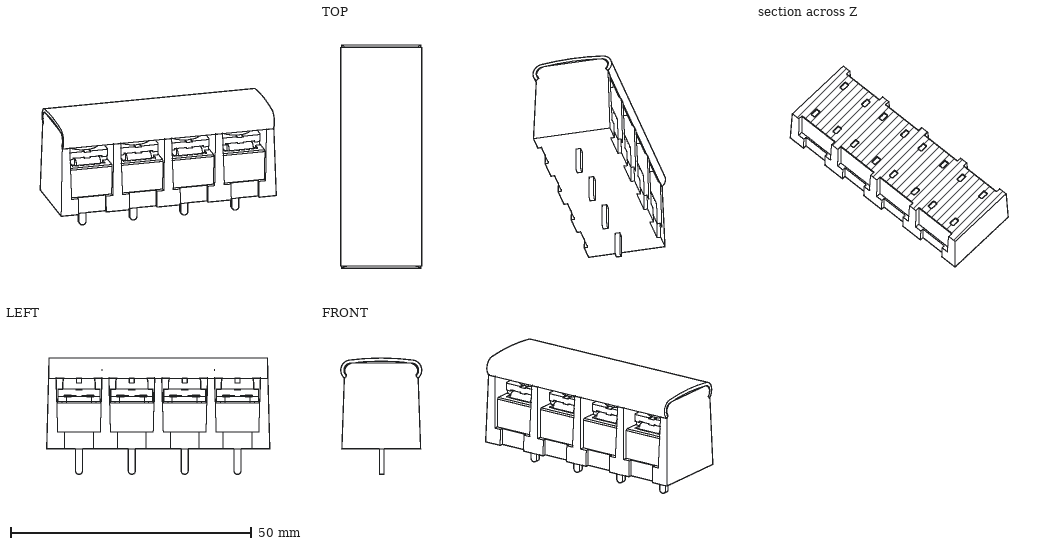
import cadquery as cq
import math

POLES = 4
PITCH = 11.0

BASE_WIDTH = 16.45
LENGTH = 46.5
SIDE_DRAFT = math.tan(math.radians(2.0))
END_DRAFT = math.tan(math.radians(1.5))
HOUSING_TOP = 17.9
BEAD_HALF_WIDTH = 7.65
BEAD_RADIUS = 1.85
BEAD_MID_ANGLE = math.radians(45.0)

COVER_WIDTH = 16.9
COVER_LENGTH = 45.55
COVER_TOP = 18.95
COVER_THICKNESS = 0.7
HOOK_RADIUS = 2.15
HOOK_Z = 16.4
HOOK_END_ANGLE = math.radians(-52.0)

POCKET_FLOOR = 3.5
POCKET_FLOOR_WIDTH = 8.9
NOTCH_WIDTH = 6.0
NOTCH_FACE_X = 7.45

BLOCK_TOP = 9.85
BLOCK_INSET = 0.95
BLOCK_CHAMFER = 0.3

PLATE_WIDTH = 8.8
PLATE_HALF_DEPTH = 3.6
PLATE_THICKNESS = 1.05
TAB_WIDTH = 5.2
TAB_REACH = 5.25
TAB_BEND_RADIUS = 1.2
RECESS_WIDTH = 7.0
RECESS_DEPTH = 0.5
WASHER_WIDTH = 8.8
WASHER_DEPTH = 8.8
WASHER_CORNER = 0.55
WASHER_BOTTOM = 11.15
WASHER_TOP = 12.45
WASHER_FOOT_WIDTH = 1.3
WASHER_RIB_WIDTH = 1.3
WASHER_RIB_HEIGHT = 0.2

SHANK_DIAMETER = 3.2
HEAD_DIAMETER = 6.8
HEAD_SHOULDER_Z = 13.75
HEAD_ROUND = 2.2
DRIVE_WIDTH = 1.0

PIN_LENGTH = 5.3
PIN_WIDTH = 1.5
PIN_THICKNESS = 1.0
PIN_X = 0.1

PLATE_TOP = BLOCK_TOP + PLATE_THICKNESS
BEAD_WIDEST_Z = HOUSING_TOP - BEAD_RADIUS
HOOK_X = COVER_WIDTH / 2 - HOOK_RADIUS


def centred_box(depth, width, z0, z1):
    """Box centred on the Z axis between two heights."""
    return cq.Workplane("XY").workplane(offset=z0).rect(depth, width).extrude(z1 - z0)


def extrude_along_y(profile, length):
    """Extrude an XZ profile by the given length, centred on Y = 0."""
    return profile.close().extrude(length / 2, both=True)


def side_x(z):
    """Half width of the drafted housing at height z."""
    return BASE_WIDTH / 2 - z * SIDE_DRAFT


def polar(cx, cz, radius, angle):
    """Point on a circle in the XZ plane."""
    return (cx + radius * math.cos(angle), cz + radius * math.sin(angle))


def mirrored(point):
    """Point reflected across X = 0."""
    return (-point[0], point[1])


def hook_point(radius, angle):
    """Point on a circle around the centre of the cover's +X hook."""
    return polar(HOOK_X, HOOK_Z, radius, angle)


def make_housing():
    """Housing with drafted sides and ends and a bead along each top edge that the cover grips."""
    inner_tip = hook_point(HOOK_RADIUS - COVER_THICKNESS, HOOK_END_ANGLE)
    outer_tip = hook_point(HOOK_RADIUS, HOOK_END_ANGLE)
    bead_x = BEAD_HALF_WIDTH - BEAD_RADIUS
    seat = (side_x(outer_tip[1]), outer_tip[1])
    widest = (BEAD_HALF_WIDTH, BEAD_WIDEST_Z)
    shoulder = polar(bead_x, BEAD_WIDEST_Z, BEAD_RADIUS, BEAD_MID_ANGLE)
    crown = (bead_x, HOUSING_TOP)
    base = (side_x(0), 0)
    cross_section = (
        cq.Workplane("XZ")
        .moveTo(*mirrored(base))
        .lineTo(*base)
        .lineTo(*seat)
        .lineTo(*outer_tip)
        .lineTo(*inner_tip)
        .lineTo(*widest)
        .threePointArc(shoulder, crown)
        .lineTo(*mirrored(crown))
        .threePointArc(mirrored(shoulder), mirrored(widest))
        .lineTo(*mirrored(inner_tip))
        .lineTo(*mirrored(outer_tip))
        .lineTo(*mirrored(seat))
    )
    housing = extrude_along_y(cross_section, LENGTH)
    top_half_length = LENGTH / 2 - HOUSING_TOP * END_DRAFT
    drafted_ends = (
        cq.Workplane("YZ")
        .polyline([
            (-LENGTH / 2, 0),
            (LENGTH / 2, 0),
            (top_half_length, HOUSING_TOP),
            (-top_half_length, HOUSING_TOP),
        ])
        .close()
        .extrude(BASE_WIDTH, both=True)
    )
    return housing.intersect(drafted_ends)


def make_cover():
    """Arched cover strip with an arc hook along each long edge, tangent to the arch."""
    rise = COVER_TOP - HOOK_Z
    arch_radius = (HOOK_X**2 + rise**2 - HOOK_RADIUS**2) / (2 * (rise - HOOK_RADIUS))
    arch_z = COVER_TOP - arch_radius
    tangent_angle = math.atan2(HOOK_Z - arch_z, HOOK_X)
    inner_radius = HOOK_RADIUS - COVER_THICKNESS
    outer_tip = hook_point(HOOK_RADIUS, HOOK_END_ANGLE)
    outer_side = hook_point(HOOK_RADIUS, 0)
    outer_tangent = hook_point(HOOK_RADIUS, tangent_angle)
    inner_tip = hook_point(inner_radius, HOOK_END_ANGLE)
    inner_side = hook_point(inner_radius, 0)
    inner_tangent = hook_point(inner_radius, tangent_angle)
    cross_section = (
        cq.Workplane("XZ")
        .moveTo(*outer_tip)
        .threePointArc(outer_side, outer_tangent)
        .threePointArc((0, COVER_TOP), mirrored(outer_tangent))
        .threePointArc(mirrored(outer_side), mirrored(outer_tip))
        .lineTo(*mirrored(inner_tip))
        .threePointArc(mirrored(inner_side), mirrored(inner_tangent))
        .threePointArc((0, COVER_TOP - COVER_THICKNESS), inner_tangent)
        .threePointArc(inner_side, inner_tip)
    )
    return extrude_along_y(cross_section, COVER_LENGTH)


def make_pocket():
    """Drafted gap between two walls, open to both sides and the top, around its support block."""
    floor_half = POCKET_FLOOR_WIDTH / 2
    top_half = floor_half + (HOUSING_TOP - POCKET_FLOOR) * END_DRAFT
    pocket = (
        cq.Workplane("YZ")
        .polyline([
            (-floor_half, POCKET_FLOOR),
            (floor_half, POCKET_FLOOR),
            (top_half, HOUSING_TOP),
            (-top_half, HOUSING_TOP),
        ])
        .close()
        .extrude(BASE_WIDTH, both=True)
    )
    return pocket.cut(make_block())


def make_notches():
    """Shallow notches in both long sides below a pocket."""
    notches = centred_box(BASE_WIDTH, NOTCH_WIDTH, 0, POCKET_FLOOR)
    return notches.cut(centred_box(2 * NOTCH_FACE_X, NOTCH_WIDTH, 0, POCKET_FLOOR))


def make_block():
    """Support block left standing in a pocket, with chamfered top edges and two tab recesses."""
    chamfer_z = BLOCK_TOP - BLOCK_CHAMFER
    floor_x = side_x(POCKET_FLOOR) - BLOCK_INSET
    face_x = side_x(chamfer_z) - BLOCK_INSET
    top_x = face_x - BLOCK_CHAMFER
    cross_section = cq.Workplane("XZ").polyline([
        (-floor_x, POCKET_FLOOR),
        (floor_x, POCKET_FLOOR),
        (face_x, chamfer_z),
        (top_x, BLOCK_TOP),
        (-top_x, BLOCK_TOP),
        (-face_x, chamfer_z),
    ])
    block = extrude_along_y(cross_section, PITCH)
    recesses = centred_box(2 * TAB_REACH, RECESS_WIDTH, BLOCK_TOP - RECESS_DEPTH, BLOCK_TOP)
    core = centred_box(2 * PLATE_HALF_DEPTH, RECESS_WIDTH, BLOCK_TOP - RECESS_DEPTH, BLOCK_TOP)
    return block.cut(recesses.cut(core))


def make_plate():
    """Terminal plate whose central tabs bend down into the block recesses."""
    plate = centred_box(2 * PLATE_HALF_DEPTH, PLATE_WIDTH, BLOCK_TOP, PLATE_TOP)
    tabs = (
        centred_box(2 * TAB_REACH, TAB_WIDTH, BLOCK_TOP - RECESS_DEPTH, PLATE_TOP)
        .edges("|Y and >Z")
        .fillet(TAB_BEND_RADIUS)
    )
    return plate.union(tabs)


def make_washer():
    """Square clamp washer with rounded corners, a foot along each side and a pressed centre rib."""
    washer = centred_box(WASHER_DEPTH, WASHER_WIDTH, PLATE_TOP, WASHER_TOP)
    washer = washer.edges("|Z").fillet(WASHER_CORNER)
    gap_width = WASHER_WIDTH - 2 * WASHER_FOOT_WIDTH
    gap = centred_box(WASHER_DEPTH, gap_width, PLATE_TOP, WASHER_BOTTOM)
    rib_bottom = WASHER_BOTTOM - WASHER_RIB_HEIGHT
    rib = centred_box(WASHER_DEPTH, WASHER_RIB_WIDTH, rib_bottom, WASHER_BOTTOM)
    groove_floor = WASHER_TOP - WASHER_RIB_HEIGHT
    groove = centred_box(WASHER_DEPTH, WASHER_RIB_WIDTH, groove_floor, WASHER_TOP)
    return washer.cut(gap).union(rib).cut(groove)


def make_screw():
    """Slotted screw with a rounded head; the shank joins plate, washer and head."""
    head_top = HEAD_SHOULDER_Z + HEAD_ROUND
    shank = cq.Workplane("XY").workplane(offset=BLOCK_TOP)
    shank = shank.circle(SHANK_DIAMETER / 2).extrude(WASHER_TOP - BLOCK_TOP)
    head = cq.Workplane("XY").workplane(offset=WASHER_TOP)
    head = head.circle(HEAD_DIAMETER / 2).extrude(head_top - WASHER_TOP)
    head = head.edges(">Z").fillet(HEAD_ROUND)
    drive_slot = centred_box(HEAD_DIAMETER, DRIVE_WIDTH, HEAD_SHOULDER_Z, head_top)
    return shank.union(head.cut(drive_slot))


def make_pin():
    """Flat solder pin with a fully rounded tip."""
    radius = PIN_WIDTH / 2
    tip_z = -PIN_LENGTH
    return (
        cq.Workplane("YZ")
        .moveTo(-radius, 0)
        .lineTo(-radius, tip_z + radius)
        .threePointArc((0, tip_z), (radius, tip_z + radius))
        .lineTo(radius, 0)
        .close()
        .extrude(PIN_THICKNESS / 2, both=True)
        .translate((PIN_X, 0, 0))
    )


cavity = make_pocket().union(make_notches())
terminal = make_plate().union(make_washer()).union(make_screw())
pin = make_pin()

result = make_housing()
for pole in range(POLES):
    position = (0, (pole - (POLES - 1) / 2) * PITCH, 0)
    result = result.cut(cavity.translate(position))
    result = result.union(terminal.translate(position))
    result = result.union(pin.translate(position))
result = result.union(make_cover())